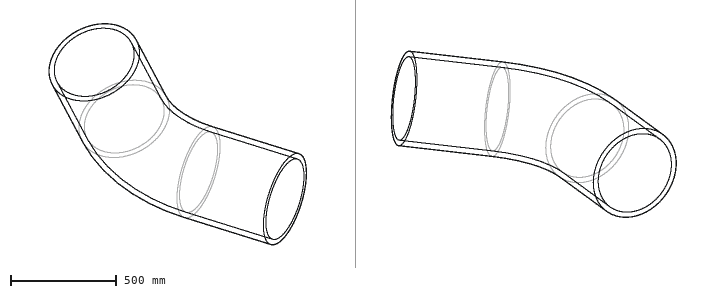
import cadquery as cq
import math

overall_length = 1440.0
outer_diameter = 450.0
inner_diameter = 397.0
leg_length = 458.0
bend_angle = 45.0

angle = math.radians(bend_angle)

legs_span = leg_length * (1 + math.cos(angle))
end_face_span = outer_diameter / 2 * math.sin(angle)
bend_radius = (overall_length - legs_span - end_face_span) / math.sin(angle)


def bend_point(turn):
    """Point on the bend centreline after turning through the given angle."""
    return (
        leg_length + bend_radius * math.sin(turn),
        bend_radius * (1 - math.cos(turn)),
    )


bend_end = bend_point(angle)
outlet = (
    bend_end[0] + leg_length * math.cos(angle),
    bend_end[1] + leg_length * math.sin(angle),
)

centreline = (
    cq.Workplane("XY")
    .lineTo(leg_length, 0)
    .threePointArc(bend_point(angle / 2), bend_end)
    .lineTo(*outlet)
)

result = (
    cq.Workplane("YZ")
    .circle(outer_diameter / 2)
    .circle(inner_diameter / 2)
    .sweep(centreline)
)